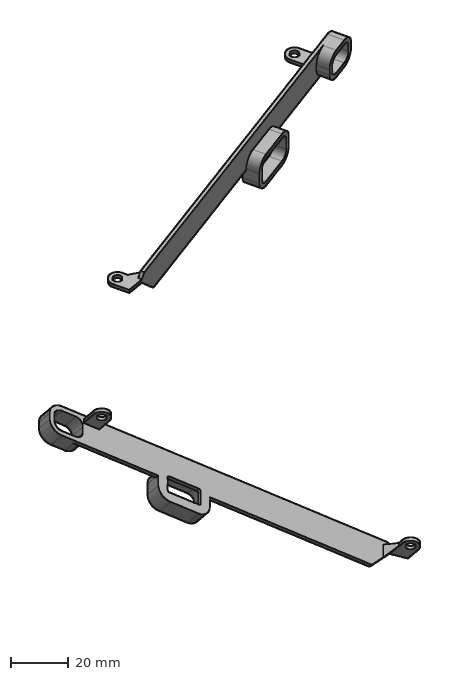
import cadquery as cq

length = 153.2
height = 21.9
width = 16.4
strip_thickness = 1.5
strip_height = 12.7
band_depth = 6.7
strip_x = width - band_depth
strip_bottom = height - strip_height
corner_radius = 5.0

band_wall = 2.0

ring_length = 16.1

loop_start = 84.7
loop_length = 22.0
loop_height = 14.9
window_border = 4.0
window_radius = 0.8

tab_thickness = 1.5
tab_top = height - 1.8
tab_bottom = tab_top - tab_thickness
tab_width = 6.7
tab_radius = tab_width / 2
tab_hole_diameter = 3.5
far_tab_start = 132.0

nose_y = 6.9
top_bevel = height - tab_top
slope_foot_y = 15.5
gusset_x = 5.7
gusset_end_y = 10.5
tab_heel_x = 9.8
tab_side_y = 6.5


def rounded_block(x_start, x_size, y_start, y_size, z_start, z_size, radius):
    """Block whose four edges along X are rounded."""
    block = cq.Workplane("XY").box(x_size, y_size, z_size, centered=False)
    return block.edges("|X").fillet(radius).translate((x_start, y_start, z_start))


def extrude_profile(points, x_start, depth):
    """Extrude a Y-Z outline along +X."""
    return cq.Workplane("YZ", origin=(x_start, 0, 0)).polyline(points).close().extrude(depth)


def slab(outline, z_start, z_size):
    return outline.extrude(z_size).translate((0, 0, z_start))


def make_strip():
    outline = [
        (slope_foot_y, strip_bottom),
        (length, strip_bottom),
        (length, height),
        (nose_y + top_bevel, height),
        (nose_y, tab_top),
        (nose_y, tab_bottom),
    ]
    strip = extrude_profile(outline, strip_x, strip_thickness)
    return strip.edges("|X and >Y").fillet(corner_radius)


def make_far_tab():
    outline = (
        cq.Workplane("XY")
        .moveTo(strip_x, far_tab_start)
        .lineTo(tab_radius, far_tab_start)
        .threePointArc((0, far_tab_start + tab_radius), (tab_radius, far_tab_start + tab_width))
        .lineTo(strip_x, far_tab_start + tab_width)
        .close()
    )
    return slab(outline, tab_bottom, tab_thickness)


def make_near_tab():
    strip_back = strip_x + strip_thickness
    outline = (
        cq.Workplane("XY")
        .moveTo(tab_heel_x, 0)
        .lineTo(tab_radius, 0)
        .threePointArc((0, tab_radius), (tab_radius, tab_width))
        .lineTo(gusset_x, tab_width)
        .lineTo(strip_x, gusset_end_y)
        .lineTo(strip_back, gusset_end_y)
        .lineTo(strip_back, tab_side_y)
        .close()
    )
    return slab(outline, tab_bottom, tab_thickness)


def make_gusset():
    """Corner web below the near tab, trimmed by the strip's end slope."""
    plan = cq.Workplane("XY").polyline(
        [(gusset_x, tab_width), (strip_x, tab_width), (strip_x, gusset_end_y)]
    ).close()
    column = slab(plan, strip_bottom, tab_bottom - strip_bottom)
    above_slope = extrude_profile(
        [(nose_y, tab_bottom), (slope_foot_y, tab_bottom), (slope_foot_y, strip_bottom)], 0, width
    )
    return column.intersect(above_slope)


def make_band(y_start, y_size, z_start, z_size):
    return rounded_block(strip_x, band_depth, y_start, y_size, z_start, z_size, corner_radius)


def make_opening(x_start, y_start, y_size, z_start, z_size, border, radius):
    """Cutter that leaves a border of even width and runs out through the +X side."""
    return rounded_block(
        x_start, width - x_start,
        y_start + border, y_size - 2 * border,
        z_start + border, z_size - 2 * border,
        radius,
    )


ring_span = (length - ring_length, ring_length, strip_bottom, strip_height)
loop_span = (loop_start, loop_length, 0, loop_height)
band_inner_radius = corner_radius - band_wall

ring_opening = make_opening(strip_x, *ring_span, band_wall, band_inner_radius)
loop_cavity = make_opening(strip_x + strip_thickness, *loop_span, band_wall, band_inner_radius)
loop_window = make_opening(strip_x, *loop_span, window_border, window_radius)

result = make_strip().union(make_band(*ring_span)).union(make_band(*loop_span))
result = result.cut(ring_opening).cut(loop_cavity).cut(loop_window)
result = result.union(make_far_tab()).union(make_near_tab()).union(make_gusset())

for hole_y in (tab_radius, far_tab_start + tab_radius):
    hole = cq.Workplane("XY").center(tab_radius, hole_y).circle(tab_hole_diameter / 2)
    result = result.cut(slab(hole, tab_bottom, tab_thickness))